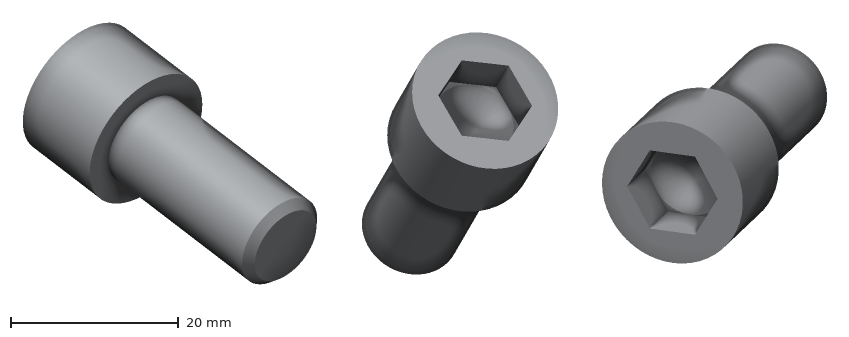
import cadquery as cq
import math

total_length = 37.0
shank_diameter = 12.0
head_length = shank_diameter
head_diameter = 1.5 * shank_diameter
tip_chamfer = 1.07

socket_across_flats = 10.0
socket_across_corners = socket_across_flats / math.cos(math.radians(30))
socket_depth = head_length / 2
cone_point_angle = 120.0
cone_radius = socket_across_flats / 2
cone_depth = cone_radius / math.tan(math.radians(cone_point_angle / 2))


def make_body():
    """Cylindrical head and shank, chamfered at the shank tip."""
    head = cq.Workplane("YZ").circle(head_diameter / 2).extrude(head_length)
    shank = cq.Workplane("YZ").circle(shank_diameter / 2).extrude(total_length)
    shank = shank.faces(">X").chamfer(tip_chamfer)
    return head.union(shank)


def make_socket():
    """Hexagonal recess, two corners on the Y axis, ending in a drill cone."""
    hexagon = cq.Workplane("YZ").polygon(6, socket_across_corners).extrude(socket_depth)
    cone = cq.Workplane(
        cq.Solid.makeCone(
            cone_radius,
            0,
            cone_depth,
            pnt=cq.Vector(socket_depth, 0, 0),
            dir=cq.Vector(1, 0, 0),
        )
    )
    return hexagon.union(cone)


result = make_body().cut(make_socket())